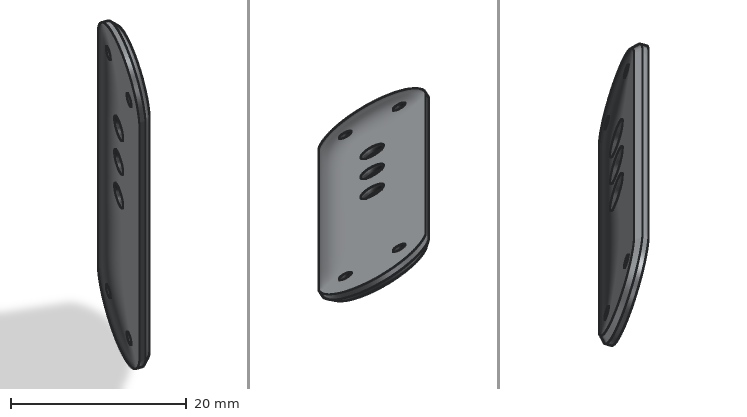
import cadquery as cq
import math

length = 58.0
width = 14.0
thickness = 1.5
end_rise = 6.0
bevel_depth = 0.75
bevel_inset = 0.75

screw_diameter = 1.6
screw_spacing_x = 7.0
screw_spacing_z = 46.0
port_diameter = 3.0
port_bevel = 0.75
port_pitch = 6.5
lowest_port_z = 0.0
port_count = 3

half_width = width / 2
half_length = length / 2
end_radius = (half_width**2 + end_rise**2) / (2 * end_rise)
end_center_z = half_length - end_radius
front_y = -thickness / 2
back_y = thickness / 2


def outline(y, inset):
    """Plate outline at height y, moved inward by inset; the end arcs stay concentric."""
    side_x = half_width - inset
    tip_z = half_length - inset
    arc_radius = end_radius - inset
    corner_z = end_center_z + math.sqrt(arc_radius**2 - side_x**2)
    return (
        cq.Workplane("XZ", origin=(0, y, 0))
        .moveTo(side_x, -corner_z)
        .lineTo(side_x, corner_z)
        .threePointArc((0, tip_z), (-side_x, corner_z))
        .lineTo(-side_x, -corner_z)
        .threePointArc((0, -tip_z), (side_x, -corner_z))
        .close()
    )


def make_plate():
    """Plate with straight sides and arched ends, bevelled around the +Y face."""
    rim_depth = thickness - bevel_depth
    bevel_y = front_y + rim_depth
    rim = outline(front_y, 0).extrude(-rim_depth)
    bevel_base = outline(bevel_y, 0).val()
    bevel_top = outline(back_y, bevel_inset).val()
    bevel = cq.Solid.makeLoft([bevel_base, bevel_top], True)
    return rim.union(bevel)


def make_holes(points, diameter):
    """Cylinders through the full thickness at the given (x, z) points."""
    return (
        cq.Workplane("XZ", origin=(0, front_y, 0))
        .pushPoints(points)
        .circle(diameter / 2)
        .extrude(-thickness)
    )


def make_countersinks(points):
    """Cones that widen the ports towards the +Y face."""
    port_radius = port_diameter / 2
    cones = cq.Workplane("XZ")
    for x, z in points:
        cone = cq.Solid.makeCone(
            port_radius,
            port_radius + port_bevel,
            port_bevel,
            pnt=cq.Vector(x, back_y - port_bevel, z),
            dir=cq.Vector(0, 1, 0),
        )
        cones = cones.add(cone)
    return cones.combine()


screw_points = [
    (side * screw_spacing_x / 2, end * screw_spacing_z / 2)
    for side in (-1, 1)
    for end in (-1, 1)
]
port_points = [(0, lowest_port_z + i * port_pitch) for i in range(port_count)]

result = (
    make_plate()
    .cut(make_holes(screw_points, screw_diameter))
    .cut(make_holes(port_points, port_diameter))
    .cut(make_countersinks(port_points))
)